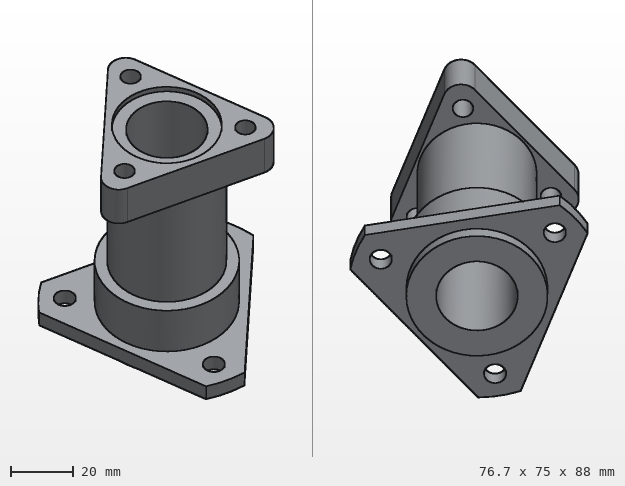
import cadquery as cq
import math

total_height = 88.0
lower_flange_bottom = 4.4
lower_flange_top = 10.1
collar_top = 28.2
upper_flange_thickness = 15.0
upper_flange_bottom = total_height - upper_flange_thickness

spigot_diameter = 45.0
collar_diameter = 46.0
tube_diameter = 38.0
bore_diameter = 26.0
recess_diameter = 35.0
recess_depth = 2.0

lower_edge_distance = 26.1
lower_corner_radius = 40.9
lower_hole_diameter = 7.0
lower_hole_distance = 32.5
lower_direction = 90

upper_tip_distance = 34.1
upper_edge_distance = 19.9
upper_rounding = 2 * upper_edge_distance - upper_tip_distance
upper_hole_diameter = 6.5
upper_hole_distance = 25.0
upper_direction = -90


def corner_points(distance, direction):
    """Three equally spaced points around the axis, the first at the given angle."""
    angles = [math.radians(direction + 120 * i) for i in range(3)]
    return [(distance * math.cos(a), distance * math.sin(a)) for a in angles]


def triangle_plate(edge_distance, direction, bottom, top):
    """Equilateral plate whose sides lie edge_distance from the axis."""
    corners = corner_points(2 * edge_distance, direction)
    return cq.Workplane("XY").workplane(offset=bottom).polyline(corners).close().extrude(top - bottom)


def cylinder(diameter, bottom, top):
    return cq.Workplane("XY").workplane(offset=bottom).circle(diameter / 2).extrude(top - bottom)


def bolt_holes(diameter, distance, direction, bottom, top):
    centers = corner_points(distance, direction)
    plane = cq.Workplane("XY").workplane(offset=bottom)
    return plane.pushPoints(centers).circle(diameter / 2).extrude(top - bottom)


def lower_flange():
    span = (lower_flange_bottom, lower_flange_top)
    plate = triangle_plate(lower_edge_distance, lower_direction, *span)
    plate = plate.intersect(cylinder(2 * lower_corner_radius, *span))
    return plate.cut(bolt_holes(lower_hole_diameter, lower_hole_distance, lower_direction, *span))


def upper_flange():
    span = (upper_flange_bottom, total_height)
    plate = triangle_plate(upper_edge_distance, upper_direction, *span)
    plate = plate.edges("|Z").fillet(upper_rounding)
    return plate.cut(bolt_holes(upper_hole_diameter, upper_hole_distance, upper_direction, *span))


body = cylinder(spigot_diameter, 0, lower_flange_bottom)
body = body.union(lower_flange())
body = body.union(cylinder(collar_diameter, lower_flange_top, collar_top))
body = body.union(cylinder(tube_diameter, collar_top, upper_flange_bottom))
body = body.union(upper_flange())

bore = cylinder(bore_diameter, 0, total_height)
recess = cylinder(recess_diameter, total_height - recess_depth, total_height)
result = body.cut(bore).cut(recess)